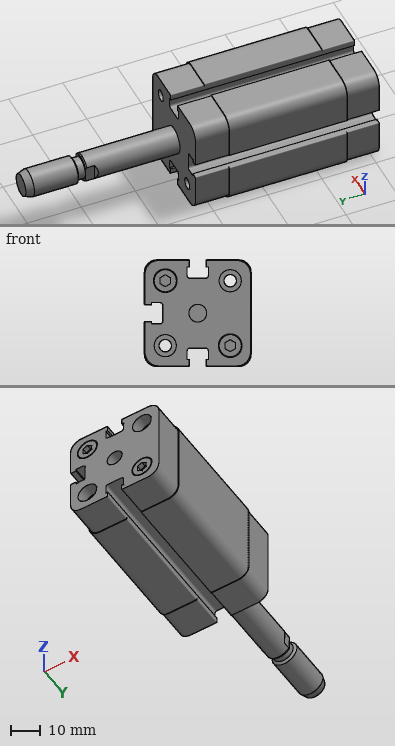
import cadquery as cq
import math


body_size = 36.1
cap_size = 35.5
corner_radius = 4.4
front_cap_length = 12.0
body_length = 43.6
rear_cap_length = 12.5
housing_length = front_cap_length + body_length + rear_cap_length

slot_angles = (0, -90, 180)
slot_opening = 5.6
slot_width = 7.1
slot_floor = 11.8
slot_lip = 15.6
slot_floor_radius = 0.9
slot_mouth_radius = 0.4

corner_offset = 11.0
through_diameter = 4.1
counterbore_diameter = 7.5
counterbore_depth = 4.6
screw_pocket_diameter = 8.0
screw_head_diameter = 7.5
screw_head_height = 4.0
socket_width = 3.5
socket_depth = 2.0

port_diameter = 6.0
port_depth = 10.0

rod_end = 124.5
rod_diameter = 10.0
tip_diameter = 8.1
neck_diameter = 7.8
tip_chamfer_length = 2.7
thread_start = 105.6
thread_runout = 0.6
neck_start = 102.5
shoulder_chamfer = 0.2
shoulder_chamfer_length = 0.5
flat_width = 8.1
flat_length = 3.2
flat_runout = 1.1


def section_at(y):
    """Workplane facing +Y at the given Y, with local axes -X and Z."""
    return cq.Workplane(cq.Plane(origin=(0, y, 0), xDir=(-1, 0, 0), normal=(0, 1, 0)))


def slotted_block(size, y_start, length):
    """Square block with rounded long edges and a T-slot in its +Z, -X and -Z sides."""
    block = section_at(y_start).rect(size, size).extrude(length).edges("|Y").fillet(corner_radius)
    for angle in slot_angles:
        block = block.rotate((0, 0, 0), (0, 1, 0), -angle).cut(top_slot())
        mouth = cq.selectors.BoxSelector(
            (-slot_width / 2, 0, (slot_lip + size / 2) / 2),
            (slot_width / 2, housing_length, body_size),
        )
        block = block.edges("|Y").edges(mouth).fillet(slot_mouth_radius)
        block = block.rotate((0, 0, 0), (0, 1, 0), angle)
    return block


def top_slot():
    """Cutter for the T-slot in the +Z side, open at both ends of the housing."""
    cut_top = body_size / 2
    wide = (
        section_at(0)
        .center(0, (slot_floor + slot_lip) / 2)
        .rect(slot_width, slot_lip - slot_floor)
        .extrude(housing_length)
        .edges("|Y and <Z")
        .fillet(slot_floor_radius)
    )
    narrow = (
        section_at(0)
        .center(0, (slot_lip + cut_top) / 2)
        .rect(slot_opening, cut_top - slot_lip)
        .extrude(housing_length)
    )
    return wide.union(narrow)


def cylinder(diameter, x, z, depth):
    """Cylinder that runs from the front face into the housing."""
    return section_at(0).center(-x, z).circle(diameter / 2).extrude(depth)


def mounting_hole(x, z):
    """Cutter for a counterbored hole through the whole housing."""
    through = cylinder(through_diameter, x, z, housing_length)
    return through.union(cylinder(counterbore_diameter, x, z, counterbore_depth))


def screw_gap(x, z):
    """Cutter for the ring gap around a flush screw head and for its hex socket."""
    socket_corner_diameter = socket_width / math.cos(math.pi / 6)
    pocket = cylinder(screw_pocket_diameter, x, z, screw_head_height)
    head = cylinder(screw_head_diameter, x, z, screw_head_height)
    socket = (
        section_at(0)
        .center(-x, z)
        .transformed(rotate=(0, 0, 90))
        .polygon(6, socket_corner_diameter)
        .extrude(socket_depth)
    )
    return pocket.cut(head).union(socket)


def piston_rod():
    """Turned rod with a threaded end, an undercut neck and two wrench flats."""
    rod_radius = rod_diameter / 2
    neck_radius = neck_diameter / 2
    rod_base = housing_length - rear_cap_length / 2
    profile = [
        (0, rod_base),
        (rod_radius, rod_base),
        (rod_radius, neck_start - shoulder_chamfer_length),
        (rod_radius - shoulder_chamfer, neck_start),
        (neck_radius, neck_start),
        (neck_radius, thread_start - thread_runout),
        (rod_radius, thread_start),
        (rod_radius, rod_end - tip_chamfer_length),
        (tip_diameter / 2, rod_end),
        (0, rod_end),
    ]
    rod = cq.Workplane("XY").polyline(profile).close().revolve(360, (0, 0, 0), (0, 1, 0))
    return rod.cut(wrench_flat()).cut(wrench_flat().mirror("YZ"))


def wrench_flat():
    """Cutter for the +X flat, with a sloped run-out to the rod surface."""
    inner = flat_width / 2
    outer = rod_diameter / 2
    flat_start = neck_start - flat_length
    profile = [
        (inner, neck_start),
        (inner, flat_start),
        (outer, flat_start - flat_runout),
        (outer, neck_start),
    ]
    return cq.Workplane("XY").polyline(profile).close().extrude(rod_diameter / 2, both=True)


body_start = front_cap_length
rear_cap_start = body_start + body_length
housing = (
    slotted_block(cap_size, 0, front_cap_length)
    .union(slotted_block(body_size, body_start, body_length))
    .union(slotted_block(cap_size, rear_cap_start, rear_cap_length))
)

for side in (1, -1):
    housing = housing.cut(mounting_hole(side * corner_offset, side * corner_offset))
    housing = housing.cut(screw_gap(-side * corner_offset, side * corner_offset))

housing = housing.cut(cylinder(port_diameter, 0, 0, port_depth))

result = housing.union(piston_rod())